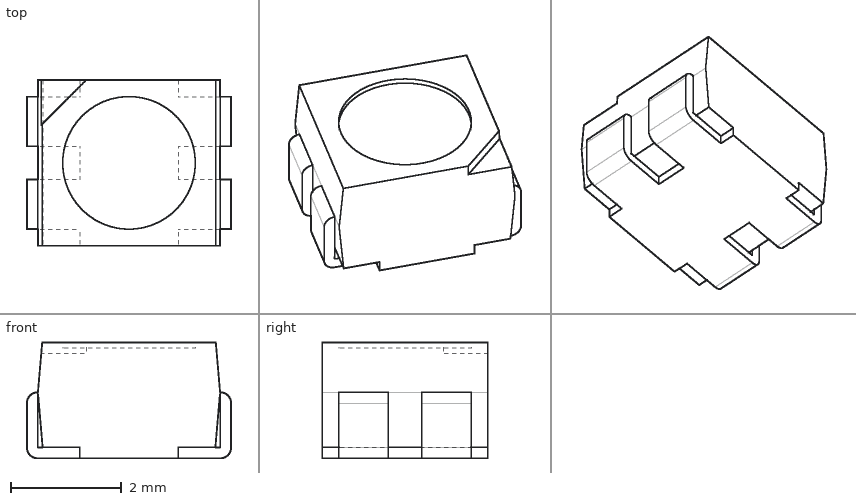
import cadquery as cq

overall_width = 3.7
body_depth = 3.0
overall_height = 2.1

lead_thickness = 0.2
lead_width = 0.9
lead_height = 1.2
lead_spacing = 1.5

waist_width = overall_width - 2 * lead_thickness
top_width = 3.145
bottom_width = 3.13
base_width = 1.785

window_diameter = 2.4
window_depth = 0.1
notch_leg = 0.8
notch_depth = 0.2


def make_body():
    """Barrel-sided housing standing on a narrower base between the lead feet."""
    half_profile = [
        (base_width / 2, 0),
        (base_width / 2, lead_thickness),
        (bottom_width / 2, lead_thickness),
        (waist_width / 2, lead_height),
        (top_width / 2, overall_height),
    ]
    mirrored = [(-x, z) for x, z in reversed(half_profile)]
    return (
        cq.Workplane("XZ")
        .polyline(half_profile + mirrored)
        .close()
        .extrude(body_depth / 2, both=True)
    )


def make_window():
    """Shallow round recess in the top face."""
    return (
        cq.Workplane("XY", origin=(0, 0, overall_height - window_depth))
        .circle(window_diameter / 2)
        .extrude(window_depth)
    )


def make_notch():
    """Diagonal polarity notch at the -X, +Y top corner."""
    overhang = (waist_width - top_width) / 2
    leg = notch_leg + overhang
    corner_x = -waist_width / 2
    corner_y = body_depth / 2
    return (
        cq.Workplane("XY", origin=(0, 0, overall_height - notch_depth))
        .polyline([(corner_x, corner_y), (corner_x + leg, corner_y), (corner_x, corner_y - leg)])
        .close()
        .extrude(notch_depth)
    )


def make_lead(center_y):
    """L-shaped lead on the +X side: upright with rounded outer edges and a foot under the body."""
    inner_x = waist_width / 2
    outer_x = overall_width / 2
    foot_x = base_width / 2
    return (
        cq.Workplane("XZ", origin=(0, center_y, 0))
        .moveTo(foot_x, 0)
        .lineTo(inner_x, 0)
        .radiusArc((outer_x, lead_thickness), -lead_thickness)
        .lineTo(outer_x, lead_height - lead_thickness)
        .radiusArc((inner_x, lead_height), -lead_thickness)
        .lineTo(inner_x, lead_thickness)
        .lineTo(foot_x, lead_thickness)
        .close()
        .extrude(lead_width / 2, both=True)
    )


result = make_body().cut(make_window()).cut(make_notch())
for center_y in (-lead_spacing / 2, lead_spacing / 2):
    lead = make_lead(center_y)
    result = result.union(lead).union(lead.mirror("YZ"))